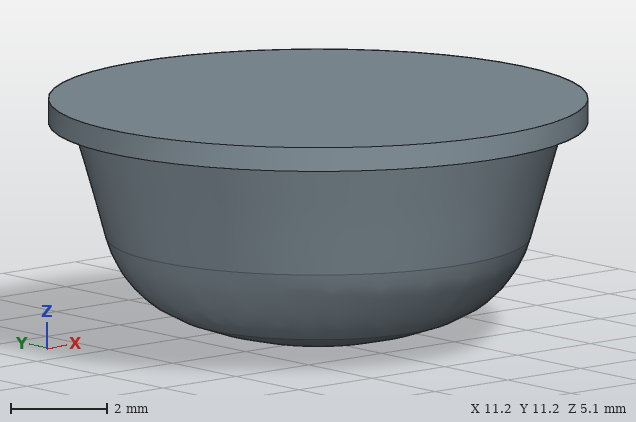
import cadquery as cq
import math

flange_radius = 5.6
flange_thickness = 0.5

overall_height = 5.1
body_top_radius = 5.1
wall_taper = math.radians(16)
dome_radius = 8.0
corner_radius = 2.5

flange_bottom = overall_height - flange_thickness


def point_on_circle(center, radius, angle):
    """Point (r, z) on a circle, with the angle measured outward from straight down."""
    return (center[0] + radius * math.sin(angle), center[1] - radius * math.cos(angle))


def make_body():
    """Solid of revolution: tapered wall, rounded corner and shallow dome, all tangent."""
    dome_center = (0, dome_radius)
    wall_angle = math.pi / 2 - wall_taper

    offset_wall_radius = body_top_radius - corner_radius / math.cos(wall_taper)
    center_distance = dome_radius - corner_radius
    wall_distance = (
        offset_wall_radius * math.cos(wall_taper)
        + (dome_radius - flange_bottom) * math.sin(wall_taper)
    )
    dome_angle = wall_angle - math.acos(wall_distance / center_distance)
    corner_center = point_on_circle(dome_center, center_distance, dome_angle)

    dome_middle = point_on_circle(dome_center, dome_radius, dome_angle / 2)
    dome_end = point_on_circle(dome_center, dome_radius, dome_angle)
    corner_middle = point_on_circle(corner_center, corner_radius, (dome_angle + wall_angle) / 2)
    wall_start = point_on_circle(corner_center, corner_radius, wall_angle)

    half_section = (
        cq.Workplane("XZ")
        .moveTo(0, 0)
        .threePointArc(dome_middle, dome_end)
        .threePointArc(corner_middle, wall_start)
        .lineTo(body_top_radius, flange_bottom)
        .lineTo(0, flange_bottom)
        .close()
    )
    return half_section.revolve(360, (0, 0, 0), (0, 1, 0))


def make_flange():
    """Flat disc that caps the wide end of the body."""
    return (
        cq.Workplane("XY")
        .workplane(offset=flange_bottom)
        .circle(flange_radius)
        .extrude(flange_thickness)
    )


result = make_body().union(make_flange())